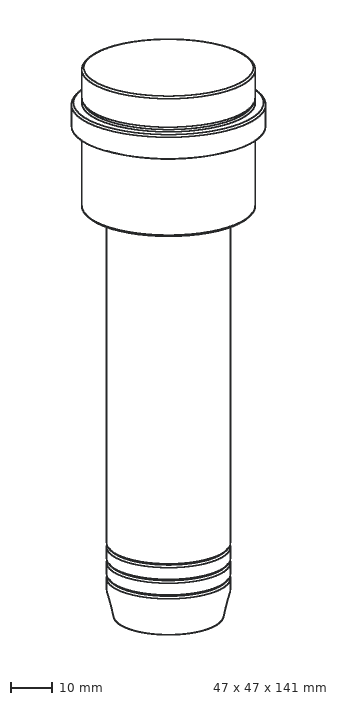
import cadquery as cq

total_length = 141.0
shank_radius = 15.0
head_radius = 21.0
flange_radius = 23.5

flange_top = total_length - 9.0
flange_bottom = flange_top - 6.0
head_bottom = total_length - 36.0

head_chamfer = 0.5
flange_chamfer = 0.5
foot_fillet = 0.6

relief_depth = 0.5
relief_deepest_height = 0.4
upper_relief_width = 1.2
lower_relief_width = 1.0

undercut_width = 1.2
undercut_depth = 0.5

lead_in_height = 7.0
foot_radius = 13.3
lead_in_hollow = 0.1

groove_count = 3
groove_pitch = 4.0
lowest_groove_height = 10.5
groove_width = 1.0
groove_depth = 0.5


def revolve_about_axis(profile):
    """Turn a closed profile, drawn as (radius, height), about the Z axis."""
    return profile.close().revolve(360, (0, 0, 0), (0, 1, 0))


def cylinder(radius, bottom, top):
    return cq.Workplane("XY").workplane(offset=bottom).circle(radius).extrude(top - bottom)


def groove_cutter(radius, bottom, width, depth, deepest_height):
    """Ring that cuts a V-groove, deepest at deepest_height above its bottom edge."""
    profile = (
        cq.Workplane("XZ")
        .moveTo(radius, bottom)
        .lineTo(radius - depth, bottom + deepest_height)
        .lineTo(radius, bottom + width)
    )
    return revolve_about_axis(profile)


def make_shank():
    """Shank with a hollow flared lead-in below and a tapered undercut against the head."""
    lead_in_middle_radius = (shank_radius + foot_radius) / 2 - lead_in_hollow
    neck_radius = shank_radius - undercut_depth
    profile = (
        cq.Workplane("XZ")
        .lineTo(foot_radius, 0)
        .threePointArc((lead_in_middle_radius, lead_in_height / 2), (shank_radius, lead_in_height))
        .lineTo(shank_radius, head_bottom - undercut_width)
        .lineTo(neck_radius, head_bottom)
        .lineTo(0, head_bottom)
    )
    return revolve_about_axis(profile).faces("<Z").edges().fillet(foot_fillet)


def cut_lubrication_grooves(shank):
    for index in range(groove_count):
        bottom = lowest_groove_height + index * groove_pitch - groove_width / 2
        groove = groove_cutter(shank_radius, bottom, groove_width, groove_depth, groove_width / 2)
        shank = shank.cut(groove)
    return shank


def make_head():
    head = cylinder(head_radius, head_bottom, total_length).edges("%CIRCLE").chamfer(head_chamfer)
    lower_relief_bottom = flange_bottom - lower_relief_width
    upper_relief = groove_cutter(
        head_radius, flange_top, upper_relief_width, relief_depth, relief_deepest_height
    )
    lower_relief = groove_cutter(
        head_radius, lower_relief_bottom, lower_relief_width, relief_depth, relief_deepest_height
    )
    return head.cut(upper_relief).cut(lower_relief)


def make_flange():
    return cylinder(flange_radius, flange_bottom, flange_top).faces(">Z").edges().chamfer(flange_chamfer)


result = cut_lubrication_grooves(make_shank()).union(make_head()).union(make_flange())